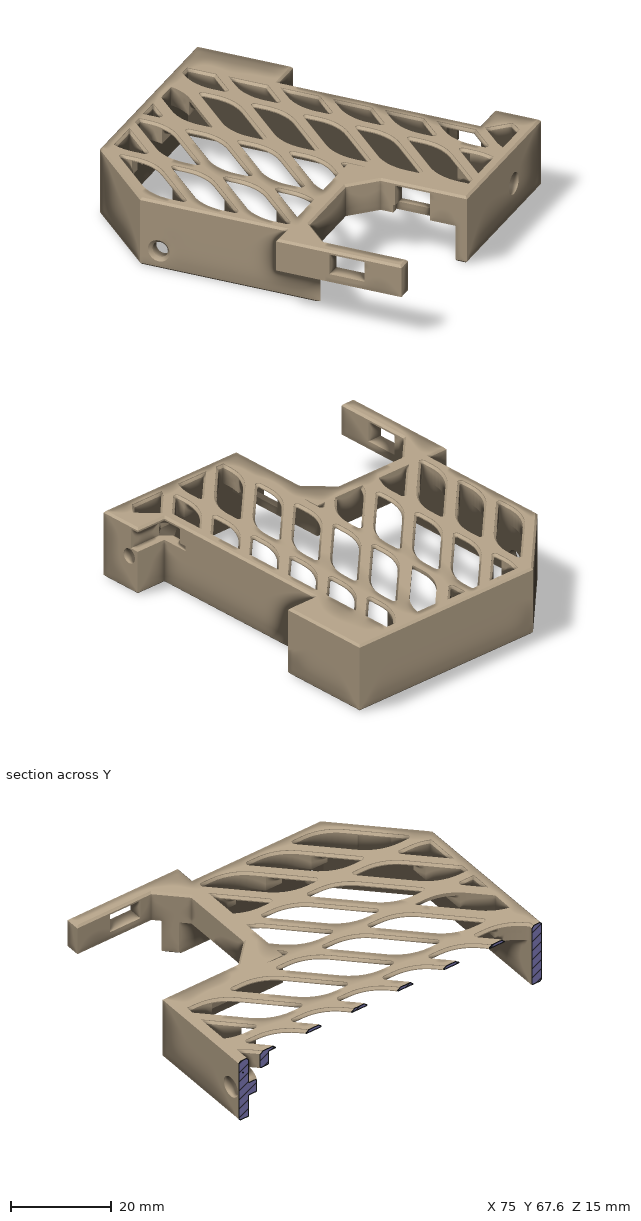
import cadquery as cq
import math

length = 75.0
width = 67.6
height = 15.0
wall = 2.5
roof = 0.8
edge_chamfer = 0.45
inner_z = height - roof

front_y = 4.7
corner_cut = 16.0
back_y = 60.4
left_tab_x = 21.0
right_tab_x = 64.95

cavity_back = back_y - wall
cavity_right = length - wall
nook_x = 64.95
nook_end_x = 70.6
nook_end_y = cavity_back + nook_end_x - nook_x

bracket_x = 47.7
bracket_z = 8.0
bracket_t = 3.3
bracket_depth = 34.95
bay_front_slope = 5.7
bay_back_slope = 5.25
bay_x = bracket_x + bracket_t
bay_front = bracket_t
bay_back = bracket_depth - bracket_t

window_x = 59.4
window_end_x = 67.0
window_z = 9.75
sill_setback = 1.7
sill_overrun = 0.45
back_window_x = 58.7
back_lip_t = 1.0
back_lip_x = 60.4
back_lip_z = 10.9
tab_recess = 2.0

ledge_z = 10.9
left_ledge_x = 7.5
front_ledge_y = front_y + 7.5
right_ledge_x = 67.5

vent_height = 13.3
vent_run = 8.6
vent_pitch = 11.3
row_pitch = 15.15
row_shift = -vent_pitch / 3
first_vent_x = 3.9
first_vent_y = 20.0
vent_blunt_radius = 11.25
vent_tip_radius = 0.7
vent_chamfer = 0.45
mouth_land = 0.15
mouth_z = height - vent_chamfer - mouth_land
row_spans = [(0, 3), (-1, 4), (-1, 6), (0, 6)]
plain_vent = (2, 0)

screw_d = 3.3
screw_sink_d = 4.7
front_screw_x = 20.0
front_screw_z = 4.0
back_screw_x = 67.4
back_screw_z = 7.8

boss_d = 6.0
boss_bore_d = 4.7
boss_x = 70.5
boss_y = 54.4
boss_z = 7.0


def box(x0, x1, y0, y1, z0, z1):
    """Box between two opposite corners."""
    return cq.Workplane("XY").box(x1 - x0, y1 - y0, z1 - z0, centered=False).translate((x0, y0, z0))


def prism(points, z0, z1):
    """Upright prism on a closed polygon."""
    return cq.Workplane("XY").workplane(offset=z0).polyline(points).close().extrude(z1 - z0)


def body_block():
    """Solid block of the body and the bracket, bevelled along its top and bottom rims."""
    body = prism(
        [
            (0, front_y + corner_cut),
            (corner_cut, front_y),
            (length, front_y),
            (length, width),
            (right_tab_x, width),
            (right_tab_x, back_y),
            (left_tab_x, back_y),
            (left_tab_x, width),
            (0, width),
        ],
        0,
        height,
    )
    bay = prism(
        [
            (length, bay_front),
            (bay_x + bay_front_slope, bay_front),
            (bay_x, bay_front + bay_front_slope),
            (bay_x, bay_back - bay_back_slope),
            (bay_x + bay_back_slope, bay_back),
            (length, bay_back),
        ],
        0,
        height,
    )
    block = body.union(bracket_box()).cut(bay)
    return block.faces("<Z or >Z").chamfer(edge_chamfer)


def bracket_box():
    """Outer box of the bracket, with the bay filled in."""
    return box(bracket_x, length, 0, bracket_depth, bracket_z, height)


def cavity(z0, z1, margin=0.0):
    """Space inside the walls; a margin widens it on every side."""
    left = wall - margin
    right = cavity_right + margin
    front = front_y + wall - margin
    back = cavity_back + margin
    diagonal = front_y + corner_cut + (wall - margin) * math.sqrt(2)
    return prism(
        [
            (left, diagonal - left),
            (diagonal - front, front),
            (right, front),
            (right, back + right - nook_x),
            (nook_x, back),
            (left, back),
        ],
        z0,
        z1,
    )


def nook_fill():
    """Corner of the right tab that stays solid until the vents cut into it."""
    drop = length - nook_end_x
    return prism(
        [
            (nook_end_x, nook_end_y),
            (length, nook_end_y - drop),
            (length, width),
            (nook_end_x, width),
        ],
        0,
        height,
    )


def ledges():
    """Ledges under the top plate along the left, front and right walls."""
    left = box(0, left_ledge_x, front_y, back_y, ledge_z, height)
    front = box(0, bracket_x, front_y, front_ledge_y, ledge_z, height)
    right = box(right_ledge_x, length, bay_back, back_y, ledge_z, height)
    return left.union(front).union(right)


def bevelled_cutter(rim):
    """Turn a flat slab that ends at the top face into a full height cutter with a bevelled mouth."""
    mouth = rim.faces("<Z").chamfer(vent_chamfer)
    shaft = mouth.faces("<Z").wires().toPending().extrude(-height, combine=False)
    return mouth.union(shaft)


def vent(row, place):
    """Slanted vent: a parallelogram with two blunt round corners and two tight tips."""
    left = first_vent_x + row * row_shift + place * vent_pitch
    top = first_vent_y + row * row_pitch
    right = left + vent_run + vent_height
    bottom = top - vent_height
    tips = [(left, top), (right, bottom)]
    blunt_corners = [(left + vent_run, top), (right - vent_run, bottom)]
    slab = prism([tips[0], blunt_corners[0], tips[1], blunt_corners[1]], mouth_z, height)
    for corners, radius in ((blunt_corners, vent_blunt_radius), (tips, vent_tip_radius)):
        for x, y in corners:
            corner = cq.selectors.NearestToPointSelector((x, y, (mouth_z + height) / 2))
            slab = slab.edges("|Z").edges(corner).fillet(radius)
    return bevelled_cutter(slab)


bracket = bracket_box()

hollow = cavity(0, inner_z).cut(ledges()).cut(bracket).cut(nook_fill())
result = body_block().cut(hollow)

vent_field = bevelled_cutter(cavity(mouth_z, height, vent_chamfer)).cut(bracket)
for row, (first, last) in enumerate(row_spans):
    for place in range(first, last + 1):
        opening = vent(row, place).intersect(vent_field)
        if (row, place) == plain_vent:
            opening = opening.cut(box(0, length, 0, width, mouth_z, height))
            opening = opening.union(opening.translate((0, 0, height - mouth_z)))
        result = result.cut(opening)

result = result.cut(box(window_x, window_end_x, 0, bracket_depth, window_z, inner_z))
result = result.cut(
    box(window_x - sill_overrun, window_end_x, bay_back, bay_back + sill_setback, bracket_z, window_z)
)

back_window = box(back_window_x, right_tab_x, cavity_back, back_y, window_z, inner_z)
back_lip = box(back_window_x, back_lip_x, back_y - back_lip_t, back_y, back_lip_z, inner_z)
result = result.cut(back_window.cut(back_lip))
result = result.cut(box(right_tab_x, right_tab_x + tab_recess, cavity_back, width, window_z, inner_z))

front_screw = cq.Workplane("XZ", origin=(front_screw_x, front_y, front_screw_z))
screw_sink = (screw_sink_d - screw_d) / 2
result = result.cut(front_screw.circle(screw_d / 2).extrude(-front_ledge_y))
result = result.cut(front_screw.circle(screw_sink_d / 2).extrude(-screw_sink, taper=45))
back_screw = cq.Workplane("XZ", origin=(back_screw_x, cavity_back, back_screw_z))
result = result.cut(back_screw.circle(screw_d / 2).extrude(cavity_back - width))

boss_start = cq.Workplane("YZ", origin=(boss_x, boss_y, boss_z))
boss_length = length - wall / 2 - boss_x
result = result.union(boss_start.circle(boss_d / 2).extrude(boss_length))
result = result.cut(boss_start.circle(boss_bore_d / 2).extrude(length - boss_x))